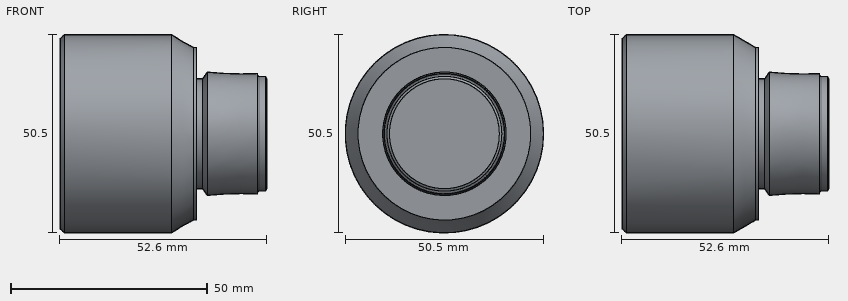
import cadquery as cq
import math

shoulder_x = 28.35
shoulder_end_x = 33.95
body_end_x = 34.75
collar_start_x = 36.3
collar_peak_x = 37.45
collar_end_x = 50.25
total_length = 52.6

body_radius = 50.55 / 2
rim_radius = 43.95 / 2
neck_radius = 14.05
collar_peak_radius = 15.7
collar_waist_radius = 15.3
collar_end_radius = 15.35
tip_radius = 29.25 / 2
body_chamfer = 1.05
tip_chamfer_length = 0.35
tip_chamfer_depth = 0.65
tip_fillet = 0.35

collar_middle_x = (collar_peak_x + collar_end_x) / 2
fillet_offset = tip_fillet * (1 - math.sqrt(0.5))

profile = (
    cq.Workplane("XY")
    .moveTo(0, 0)
    .lineTo(0, body_radius - body_chamfer)
    .lineTo(body_chamfer, body_radius)
    .lineTo(shoulder_x, body_radius)
    .lineTo(shoulder_end_x, rim_radius)
    .lineTo(body_end_x, rim_radius)
    .lineTo(body_end_x, neck_radius)
    .lineTo(collar_start_x, neck_radius)
    .lineTo(collar_peak_x, collar_peak_radius)
    .threePointArc((collar_middle_x, collar_waist_radius), (collar_end_x, collar_end_radius))
    .lineTo(collar_end_x, tip_radius + tip_fillet)
    .threePointArc(
        (collar_end_x + fillet_offset, tip_radius + fillet_offset),
        (collar_end_x + tip_fillet, tip_radius),
    )
    .lineTo(total_length - tip_chamfer_length, tip_radius)
    .lineTo(total_length, tip_radius - tip_chamfer_depth)
    .lineTo(total_length, 0)
    .close()
)

result = profile.revolve(360, (0, 0, 0), (1, 0, 0))